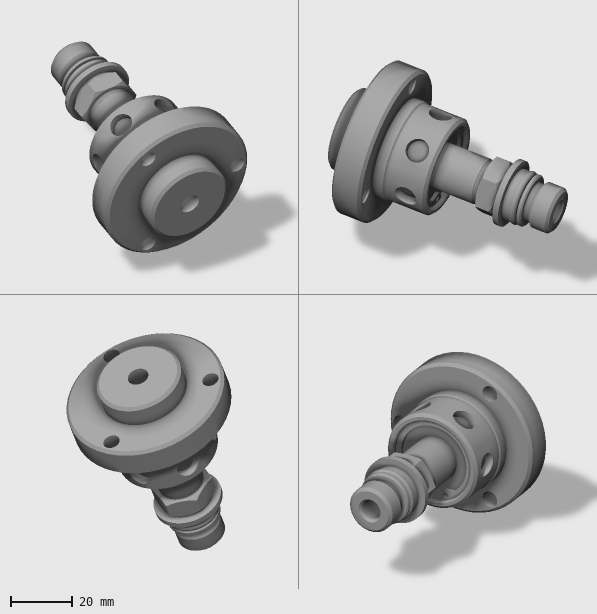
import cadquery as cq
import math


OVERALL_LENGTH = 77.8

BORE_DIAMETER = 7.0
SHAFT_DIAMETER = 15.9
THREAD_DIAMETER = 16.0
THREAD_RELIEF_DIAMETER = 13.5
LAND_DIAMETER = 18.0
SEAL_GROOVE_DIAMETER = 14.7
SHOULDER_DIAMETER = 17.7
DISC_DIAMETER = 23.0
NECK_DIAMETER = 15.3

THREAD_END = 6.45
LAND_START = 9.5
SEAL_GROOVE_START = 10.9
SEAL_START = 11.5
LAND_END = 15.95
DISC_START = 16.4
DISC_END = 18.4
HEX_START = 19.05
HEX_END = 26.0
NECK_END = 27.6

TIP_CHAMFER = 1.0
BORE_CHAMFER_WIDTH = 0.6
BORE_CHAMFER_DEPTH = 1.0
LAND_CHAMFER = 0.5
SEAL_CORD_RADIUS = 1.205
SEAL_OUTER_RADIUS = 9.3
HEX_ACROSS_FLATS = LAND_DIAMETER
HEX_FRONT_CHAMFER_ANGLE = 45.0
HEX_REAR_CHAMFER_ANGLE = 30.0

HOUSING_START = 40.45
BARREL_DIAMETER = 33.9
BARREL_END = 55.2
SPIGOT_DIAMETER = 34.85
FLANGE_START = 59.4
FLANGE_END = 70.0
FLANGE_DIAMETER = 53.7
HUB_DIAMETER = 28.6
HOUSING_CHAMFER = 1.0

RECESS_DIAMETER = 28.6
RECESS_CHAMFER = 0.5
CLIP_GROOVE_DIAMETER = 30.4
CLIP_INNER_DIAMETER = 24.6
CLIP_START = 42.0
CLIP_THICKNESS = 1.25
RECESS_END = CLIP_START + CLIP_THICKNESS

CLIP_GAP_HALF_WIDTH = 2.25
LUG_OUTER_SIDE = 7.8
LUG_TOP = 9.8
LUG_BOTTOM = 13.1
LUG_CORNER_RADIUS = 2.6
LUG_HOLE_DIAMETER = 1.95
LUG_HOLE_Y = 4.6
LUG_HOLE_Z = 11.9

RADIAL_HOLE_DIAMETER = 7.9
RADIAL_HOLE_COUNT = 6
RADIAL_HOLE_X = 47.45
RADIAL_HOLE_FLOOR_DIAMETER = 28.0
BOLT_HOLE_DIAMETER = 5.5
BOLT_HOLE_COUNT = 3
BOLT_CIRCLE_RADIUS = 22.4


def cylinder(diameter, start, end):
    """Solid cylinder on the X axis between two stations."""
    return cq.Workplane("YZ", origin=(start, 0, 0)).circle(diameter / 2).extrude(end - start)


def ring(outer_diameter, inner_diameter, start, end):
    """Hollow cylinder on the X axis between two stations."""
    return cylinder(outer_diameter, start, end).cut(cylinder(inner_diameter, start, end))


def revolve_about_x(profile):
    """Full turn of a closed profile whose points are (station, radius)."""
    return profile.close().revolve(360, (0, 0, 0), (1, 0, 0))


def threaded_end():
    """Tip, thread run-out, sealing land with its O-ring, and stop disc."""
    thread = THREAD_DIAMETER / 2
    relief = THREAD_RELIEF_DIAMETER / 2
    land = LAND_DIAMETER / 2
    groove = SEAL_GROOVE_DIAMETER / 2
    shoulder = SHOULDER_DIAMETER / 2
    disc = DISC_DIAMETER / 2

    seal_x = SEAL_START + SEAL_CORD_RADIUS
    seal_radius = SEAL_OUTER_RADIUS - SEAL_CORD_RADIUS
    seal_to_land = math.sqrt(SEAL_CORD_RADIUS**2 - (land - seal_radius) ** 2)

    profile = (
        cq.Workplane("XY")
        .moveTo(0, 0)
        .lineTo(0, thread - TIP_CHAMFER)
        .lineTo(TIP_CHAMFER, thread)
        .lineTo(THREAD_END, thread)
        .lineTo(THREAD_END + thread - relief, relief)
        .lineTo(LAND_START, relief)
        .lineTo(LAND_START, land - LAND_CHAMFER)
        .lineTo(LAND_START + LAND_CHAMFER, land)
        .lineTo(SEAL_GROOVE_START, land)
        .lineTo(SEAL_GROOVE_START, groove)
        .lineTo(SEAL_START, groove)
        .lineTo(SEAL_START, seal_radius)
        .threePointArc((seal_x, SEAL_OUTER_RADIUS), (seal_x + seal_to_land, land))
        .lineTo(LAND_END, land)
        .lineTo(LAND_END + land - shoulder, shoulder)
        .lineTo(DISC_START, shoulder)
        .lineTo(DISC_START, disc)
        .lineTo(DISC_END, disc)
        .lineTo(DISC_END, shoulder)
        .lineTo(HEX_START, shoulder)
        .lineTo(HEX_START, 0)
    )
    return revolve_about_x(profile)


def hexagon():
    """Spanner hexagon, flats facing up and down, its corners turned off at both ends."""
    flat_radius = HEX_ACROSS_FLATS / 2
    corner_radius = flat_radius / math.cos(math.pi / 6)
    corner_height = corner_radius - flat_radius
    front_chamfer = corner_height / math.tan(math.radians(HEX_FRONT_CHAMFER_ANGLE))
    rear_chamfer = corner_height * math.tan(math.radians(HEX_REAR_CHAMFER_ANGLE))

    prism = (
        cq.Workplane("YZ", origin=(HEX_START, 0, 0))
        .polygon(6, 2 * corner_radius)
        .extrude(HEX_END - HEX_START)
    )
    turned_blank = revolve_about_x(
        cq.Workplane("XY")
        .moveTo(HEX_START, 0)
        .lineTo(HEX_START, flat_radius)
        .lineTo(HEX_START + front_chamfer, corner_radius)
        .lineTo(HEX_END - rear_chamfer, corner_radius)
        .lineTo(HEX_END, flat_radius)
        .lineTo(HEX_END, 0)
    )
    return prism.intersect(turned_blank)


def shaft():
    """Neck behind the hexagon and the shaft that runs through the housing."""
    neck = NECK_DIAMETER / 2
    radius = SHAFT_DIAMETER / 2
    return revolve_about_x(
        cq.Workplane("XY")
        .moveTo(HEX_END, 0)
        .lineTo(HEX_END, neck)
        .lineTo(NECK_END, neck)
        .lineTo(NECK_END + radius - neck, radius)
        .lineTo(OVERALL_LENGTH, radius)
        .lineTo(OVERALL_LENGTH, 0)
    )


def rotor_bore():
    """Through bore with a chamfer at the threaded tip."""
    radius = BORE_DIAMETER / 2
    return revolve_about_x(
        cq.Workplane("XY")
        .moveTo(0, 0)
        .lineTo(0, radius + BORE_CHAMFER_WIDTH)
        .lineTo(BORE_CHAMFER_DEPTH, radius)
        .lineTo(OVERALL_LENGTH, radius)
        .lineTo(OVERALL_LENGTH, 0)
    )


def make_rotor():
    return threaded_end().union(hexagon()).union(shaft()).cut(rotor_bore())


def housing_blank():
    """Turned outside of the housing: barrel, spigot, flange and rear hub."""
    barrel = BARREL_DIAMETER / 2
    spigot = SPIGOT_DIAMETER / 2
    flange = FLANGE_DIAMETER / 2
    hub = HUB_DIAMETER / 2
    return revolve_about_x(
        cq.Workplane("XY")
        .moveTo(HOUSING_START, 0)
        .lineTo(HOUSING_START, barrel - HOUSING_CHAMFER)
        .lineTo(HOUSING_START + HOUSING_CHAMFER, barrel)
        .lineTo(BARREL_END, barrel)
        .lineTo(BARREL_END + spigot - barrel, spigot)
        .lineTo(FLANGE_START, spigot)
        .lineTo(FLANGE_START, flange - HOUSING_CHAMFER)
        .lineTo(FLANGE_START + HOUSING_CHAMFER, flange)
        .lineTo(FLANGE_END - HOUSING_CHAMFER, flange)
        .lineTo(FLANGE_END, flange - HOUSING_CHAMFER)
        .lineTo(FLANGE_END, hub)
        .lineTo(OVERALL_LENGTH - HOUSING_CHAMFER, hub)
        .lineTo(OVERALL_LENGTH, hub - HOUSING_CHAMFER)
        .lineTo(OVERALL_LENGTH, 0)
    )


def recess():
    """Chamfered recess around the rotor with the groove for the retaining clip."""
    radius = RECESS_DIAMETER / 2
    groove = CLIP_GROOVE_DIAMETER / 2
    return revolve_about_x(
        cq.Workplane("XY")
        .moveTo(HOUSING_START, 0)
        .lineTo(HOUSING_START, radius + RECESS_CHAMFER)
        .lineTo(HOUSING_START + RECESS_CHAMFER, radius)
        .lineTo(CLIP_START, radius)
        .lineTo(CLIP_START, groove)
        .lineTo(RECESS_END, groove)
        .lineTo(RECESS_END, 0)
    )


def retaining_clip():
    """Open ring seated in the housing groove, with a drilled lug on each side of its gap."""
    groove_radius = CLIP_GROOVE_DIAMETER / 2
    clip_plane = cq.Workplane("YZ", origin=(CLIP_START, 0, 0))

    gap = (
        clip_plane.center(0, -groove_radius)
        .rect(2 * CLIP_GAP_HALF_WIDTH, 2 * (groove_radius - LUG_TOP))
        .extrude(CLIP_THICKNESS)
    )
    clip = ring(CLIP_GROOVE_DIAMETER, CLIP_INNER_DIAMETER, CLIP_START, RECESS_END).cut(gap)

    for side in (-1, 1):
        gap_corner = (CLIP_START, side * CLIP_GAP_HALF_WIDTH, -LUG_TOP)
        lug = (
            clip_plane.moveTo(side * LUG_OUTER_SIDE, -LUG_TOP)
            .lineTo(side * CLIP_GAP_HALF_WIDTH, -LUG_TOP)
            .lineTo(side * CLIP_GAP_HALF_WIDTH, -LUG_BOTTOM)
            .lineTo(side * LUG_OUTER_SIDE, -LUG_BOTTOM)
            .close()
            .extrude(CLIP_THICKNESS)
            .edges(cq.selectors.NearestToPointSelector(gap_corner))
            .fillet(LUG_CORNER_RADIUS)
        )
        hole = (
            clip_plane.center(side * LUG_HOLE_Y, -LUG_HOLE_Z)
            .circle(LUG_HOLE_DIAMETER / 2)
            .extrude(CLIP_THICKNESS)
        )
        clip = clip.union(lug).cut(hole)
    return clip


def radial_holes():
    """Blind holes around the barrel, all ending on one cylindrical floor."""
    drill = (
        cq.Workplane("XZ", origin=(RADIAL_HOLE_X, 0, 0))
        .circle(RADIAL_HOLE_DIAMETER / 2)
        .extrude(BARREL_DIAMETER)
    )
    holes = cq.Workplane("XY")
    for index in range(RADIAL_HOLE_COUNT):
        angle = index * 360 / RADIAL_HOLE_COUNT
        holes = holes.union(drill.rotate((0, 0, 0), (1, 0, 0), angle))
    return holes.cut(cylinder(RADIAL_HOLE_FLOOR_DIAMETER, HOUSING_START, FLANGE_START))


def bolt_holes():
    """Mounting holes through the flange, the first one on the +Y side."""
    return (
        cq.Workplane("YZ", origin=(FLANGE_START, 0, 0))
        .polarArray(BOLT_CIRCLE_RADIUS, 0, 360, BOLT_HOLE_COUNT)
        .circle(BOLT_HOLE_DIAMETER / 2)
        .extrude(FLANGE_END - FLANGE_START)
    )


def make_housing():
    shaft_bore = cylinder(SHAFT_DIAMETER, HOUSING_START, OVERALL_LENGTH)
    turned = housing_blank().cut(shaft_bore).cut(recess())
    return turned.cut(radial_holes()).cut(bolt_holes()).union(retaining_clip())


rotor = make_rotor()
housing = make_housing()

result = cq.Compound.makeCompound([rotor.val(), housing.val()])